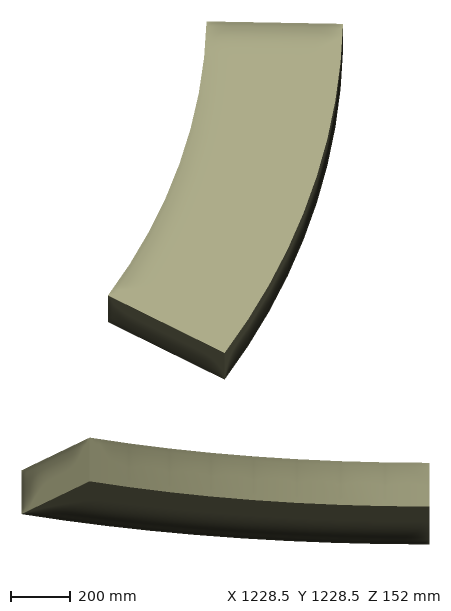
import cadquery as cq
import math

outer_radius = 2732.0
radial_width = 457.0
thickness = 152.0
start_angle = 30.0
end_angle = 60.0

inner_radius = outer_radius - radial_width
middle_angle = (start_angle + end_angle) / 2


def polar_point(radius, angle):
    """Point in the XY plane at a radius and an angle in degrees."""
    return (
        radius * math.cos(math.radians(angle)),
        radius * math.sin(math.radians(angle)),
    )


result = (
    cq.Workplane("XY")
    .moveTo(*polar_point(inner_radius, start_angle))
    .lineTo(*polar_point(outer_radius, start_angle))
    .threePointArc(polar_point(outer_radius, middle_angle), polar_point(outer_radius, end_angle))
    .lineTo(*polar_point(inner_radius, end_angle))
    .threePointArc(polar_point(inner_radius, middle_angle), polar_point(inner_radius, start_angle))
    .close()
    .extrude(thickness)
)